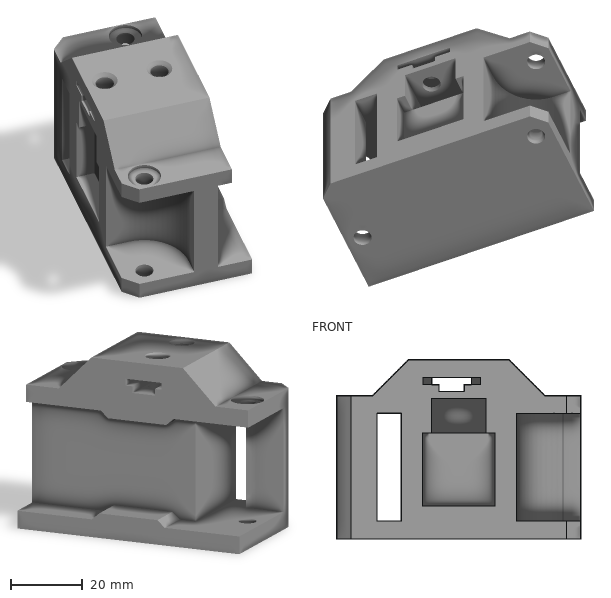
import cadquery as cq

WIDTH = 68.0
BASE_DEPTH = 37.0
TOP_DEPTH = 31.1
HEIGHT = 50.0
SHOULDER_Z = 40.0
SHOULDER_WIDTH = 10.0
CORNER_CHAMFER = 3.95

BASE_THICKNESS = 5.1
BAY_TOP = 35.0
BAY_HEIGHT = BAY_TOP - BASE_THICKNESS
BLOCK_LEFT = 17.95
BLOCK_RIGHT = WIDTH - BLOCK_LEFT
BLOCK_BACK = 27.0
LEFT_WALL_BACK = 7.55
LEFT_ARC_RADIUS = 9.4
SLOT_WIDTH = 6.65

SCREW_DIAMETER = 5.0
COUNTERBORE_DIAMETER = 9.25
COUNTERBORE_DEPTH = 1.0
LEFT_SCREW = (4.95, 20.7)
RIGHT_SCREW = (WIDTH - LEFT_SCREW[0], 7.0)
RIGHT_ARC_RADIUS = RIGHT_SCREW[0] - BLOCK_RIGHT

RIB_BASE_WIDTH = 22.3
RIB_TIP_WIDTH = 17.8
RIB_HEIGHT = 2.0

POCKET_WIDTH = 20.1
POCKET_BOTTOM = 9.25
POCKET_STEP_Z = 29.5
POCKET_TOP = 39.2
POCKET_DEPTH = 5.3
UPPER_POCKET_WIDTH = 15.3
UPPER_POCKET_DEPTH = 25.0

T_CENTER_X = 32.0
T_WIDTH = 16.0
T_REAR_WIDTH = 11.0
T_STEM_WIDTH = 6.95
T_BOTTOM = 41.15
T_STEP_Z = 43.05
T_TOP = 45.0
TOP_HOLE_DIAMETER = 5.1
COUNTERSINK_DIAMETER = 7.15
COUNTERSINK_DEPTH = (COUNTERSINK_DIAMETER - TOP_HOLE_DIAMETER) / 2
TOP_HOLE_YS = (5.65, 21.7)


def box(x0, x1, y0, y1, z0, z1):
    """Box given by its limits along each axis."""
    return cq.Workplane("XY").box(x1 - x0, y1 - y0, z1 - z0, centered=False).translate((x0, y0, z0))


def centered_box(center_x, width, depth, z0, z1):
    """Box starting at the front face and centred on a given X."""
    return box(center_x - width / 2, center_x + width / 2, 0, depth, z0, z1)


def cylinder(x, y, diameter, z0, z1):
    return cq.Workplane("XY", origin=(x, y, z0)).circle(diameter / 2).extrude(z1 - z0)


def make_body():
    """Full-height body with sloping shoulders and a deeper base plate."""
    outline = [
        (0, 0), (WIDTH, 0), (WIDTH, SHOULDER_Z), (WIDTH - SHOULDER_WIDTH, SHOULDER_Z),
        (WIDTH - 2 * SHOULDER_WIDTH, HEIGHT), (2 * SHOULDER_WIDTH, HEIGHT),
        (SHOULDER_WIDTH, SHOULDER_Z), (0, SHOULDER_Z),
    ]
    body = cq.Workplane("XZ").polyline(outline).close().extrude(-TOP_DEPTH)
    return body.union(box(0, WIDTH, 0, BASE_DEPTH, 0, BASE_THICKNESS))


def corner_cutter(corner_x, inward):
    """Triangular prism removing one front vertical corner."""
    points = [(corner_x, 0), (corner_x + inward * CORNER_CHAMFER, 0), (corner_x, CORNER_CHAMFER)]
    return cq.Workplane("XY").polyline(points).close().extrude(HEIGHT)


def quarter_bay(side_x, face_x, wall_y, radius, open_y):
    """Side bay bounded by a wall and the block face, joined by a tangent quarter arc."""
    x_sign = 1 if face_x > side_x else -1
    y_sign = 1 if wall_y > open_y else -1
    center = (face_x - x_sign * radius, wall_y - y_sign * radius)
    middle = (center[0] + x_sign * radius * 0.5 ** 0.5, center[1] + y_sign * radius * 0.5 ** 0.5)
    return (
        cq.Workplane("XY", origin=(0, 0, BASE_THICKNESS))
        .moveTo(side_x, open_y)
        .lineTo(side_x, wall_y)
        .lineTo(center[0], wall_y)
        .threePointArc(middle, (face_x, center[1]))
        .lineTo(face_x, open_y)
        .close()
        .extrude(BAY_HEIGHT)
    )


def rib(root_z, direction):
    """Tapered rib behind the block, growing up or down from a plate."""
    middle = WIDTH / 2
    tip_z = root_z + direction * RIB_HEIGHT
    points = [
        (middle - RIB_BASE_WIDTH / 2, root_z), (middle + RIB_BASE_WIDTH / 2, root_z),
        (middle + RIB_TIP_WIDTH / 2, tip_z), (middle - RIB_TIP_WIDTH / 2, tip_z),
    ]
    depth = (BASE_DEPTH if direction > 0 else TOP_DEPTH) - BLOCK_BACK
    return cq.Workplane("XZ", origin=(0, BLOCK_BACK, 0)).polyline(points).close().extrude(-depth)


result = make_body()
result = result.cut(corner_cutter(0, 1)).cut(corner_cutter(WIDTH, -1))

result = result.cut(quarter_bay(0, BLOCK_LEFT, LEFT_WALL_BACK, LEFT_ARC_RADIUS, BLOCK_BACK))
right_wall_y = RIGHT_SCREW[1] + RIGHT_ARC_RADIUS
result = result.cut(quarter_bay(WIDTH, BLOCK_RIGHT, right_wall_y, RIGHT_ARC_RADIUS, 0))
result = result.cut(box(BLOCK_LEFT - SLOT_WIDTH, BLOCK_LEFT, 0, BLOCK_BACK, BASE_THICKNESS, BAY_TOP))
result = result.cut(box(0, WIDTH, BLOCK_BACK, BASE_DEPTH, BASE_THICKNESS, BAY_TOP))
result = result.union(rib(BASE_THICKNESS, 1)).union(rib(BAY_TOP, -1))

result = result.cut(centered_box(WIDTH / 2, POCKET_WIDTH, POCKET_DEPTH, POCKET_BOTTOM, POCKET_STEP_Z))
result = result.cut(centered_box(WIDTH / 2, UPPER_POCKET_WIDTH, UPPER_POCKET_DEPTH, POCKET_STEP_Z, POCKET_TOP))

result = result.cut(centered_box(T_CENTER_X, T_WIDTH, UPPER_POCKET_DEPTH, T_STEP_Z, T_TOP))
result = result.cut(centered_box(T_CENTER_X, T_REAR_WIDTH, TOP_DEPTH, T_STEP_Z, T_TOP))
result = result.cut(centered_box(T_CENTER_X, T_STEM_WIDTH, TOP_DEPTH, T_BOTTOM, T_STEP_Z))

for hole_y in TOP_HOLE_YS:
    result = result.cut(cylinder(T_CENTER_X, hole_y, TOP_HOLE_DIAMETER, POCKET_STEP_Z, HEIGHT))
    countersink = (
        cq.Workplane("XY", origin=(T_CENTER_X, hole_y, HEIGHT))
        .circle(COUNTERSINK_DIAMETER / 2)
        .workplane(offset=-COUNTERSINK_DEPTH)
        .circle(TOP_HOLE_DIAMETER / 2)
        .loft()
    )
    result = result.cut(countersink)

for screw_x, screw_y in (LEFT_SCREW, RIGHT_SCREW):
    result = result.cut(cylinder(screw_x, screw_y, SCREW_DIAMETER, 0, SHOULDER_Z))
    counterbore_z = SHOULDER_Z - COUNTERBORE_DEPTH
    result = result.cut(cylinder(screw_x, screw_y, COUNTERBORE_DIAMETER, counterbore_z, SHOULDER_Z))